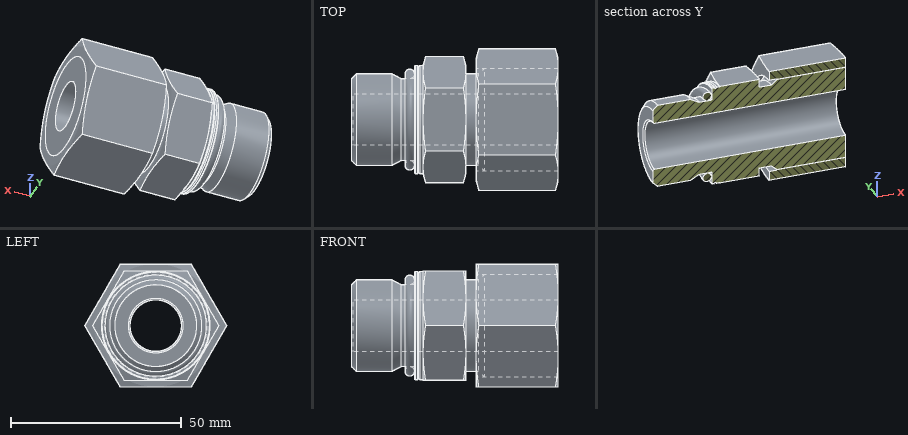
import cadquery as cq
import math


thread_radius = 13.45
undercut_radius = 12.0
flange_radius = 15.9
neck_radius = thread_radius
nut_thread_radius = 15.0
bore_radius = 7.5

thread_end = 11.85
undercut_start = 14.6
flange_start = 18.5
marking_groove_center = 19.7
body_hex_start = 21.0
body_hex_end = 33.5
nut_start = 36.5
neck_end = 37.2
nut_thread_start = 39.0
nut_end = 60.5

stud_chamfer = 1.5
bore_chamfer = 0.5
flange_chamfer = 0.2
marking_groove_half_width = 0.4
marking_groove_depth = 0.3

body_hex_flats = 32.0
nut_hex_flats = 36.0
hex_bevel_angle = 16.0

ring_section_radius = 1.4
ring_center_radius = undercut_radius + ring_section_radius
ring_center_x = flange_start - ring_section_radius


def revolve_about_x(profile):
    """Turn a closed (x, radius) outline about the X axis."""
    return profile.close().revolve(360, (0, 0, 0), (1, 0, 0))


def cylinder(start, end, radius):
    return cq.Workplane("YZ", origin=(start, 0, 0)).circle(radius).extrude(end - start)


def beveled_hex(start, end, flats):
    """Hexagonal prism, flats facing +Z and -Z, with end bevels starting at the inscribed circle."""
    bevel_radius = flats / 2
    corner_radius = flats / math.sqrt(3)
    bevel_length = (corner_radius - bevel_radius) * math.tan(math.radians(hex_bevel_angle))
    prism = (
        cq.Workplane("YZ", origin=(start, 0, 0))
        .polygon(6, 2 * corner_radius)
        .extrude(end - start)
    )
    envelope = revolve_about_x(
        cq.Workplane("XY")
        .moveTo(start, 0)
        .lineTo(start, bevel_radius)
        .lineTo(start + bevel_length, corner_radius)
        .lineTo(end - bevel_length, corner_radius)
        .lineTo(end, bevel_radius)
        .lineTo(end, 0)
    )
    return prism.intersect(envelope)


def make_stud():
    """Threaded stud, O-ring undercut and grooved flange as one turned solid."""
    return revolve_about_x(
        cq.Workplane("XY")
        .lineTo(0, thread_radius - stud_chamfer)
        .lineTo(stud_chamfer, thread_radius)
        .lineTo(thread_end, thread_radius)
        .lineTo(undercut_start, undercut_radius)
        .lineTo(flange_start, undercut_radius)
        .lineTo(flange_start, flange_radius - flange_chamfer)
        .lineTo(flange_start + flange_chamfer, flange_radius)
        .lineTo(marking_groove_center - marking_groove_half_width, flange_radius)
        .lineTo(marking_groove_center, flange_radius - marking_groove_depth)
        .lineTo(marking_groove_center + marking_groove_half_width, flange_radius)
        .lineTo(body_hex_start, flange_radius)
        .lineTo(body_hex_start, 0)
    )


def make_nut_end():
    """Neck behind the hexagon, widening inside the nut to the thread that fills it."""
    return revolve_about_x(
        cq.Workplane("XY")
        .moveTo(body_hex_end, 0)
        .lineTo(body_hex_end, neck_radius)
        .lineTo(neck_end, neck_radius)
        .lineTo(nut_thread_start, nut_thread_radius)
        .lineTo(nut_end, nut_thread_radius)
        .lineTo(nut_end, 0)
    )


def make_bore():
    """Through bore with a chamfered mouth at the stud end."""
    return revolve_about_x(
        cq.Workplane("XY")
        .lineTo(0, bore_radius + bore_chamfer)
        .lineTo(bore_chamfer, bore_radius)
        .lineTo(nut_end, bore_radius)
        .lineTo(nut_end, 0)
    )


def make_body():
    """Fitting body: stud, hexagon and the nut end, with one bore through all of them."""
    hexagon = beveled_hex(body_hex_start, body_hex_end, body_hex_flats)
    return make_stud().union(hexagon).union(make_nut_end()).cut(make_bore())


def make_nut():
    """Union nut, bored to fit over the thread of the body."""
    hexagon = beveled_hex(nut_start, nut_end, nut_hex_flats)
    return hexagon.cut(cylinder(nut_start, nut_end, nut_thread_radius))


def make_o_ring():
    return (
        cq.Workplane("XY")
        .center(ring_center_x, ring_center_radius)
        .circle(ring_section_radius)
        .revolve(360, (0, -ring_center_radius, 0), (1, -ring_center_radius, 0))
    )


body = make_body()
nut = make_nut()
o_ring = make_o_ring()

result = cq.Compound.makeCompound([body.val(), nut.val(), o_ring.val()])